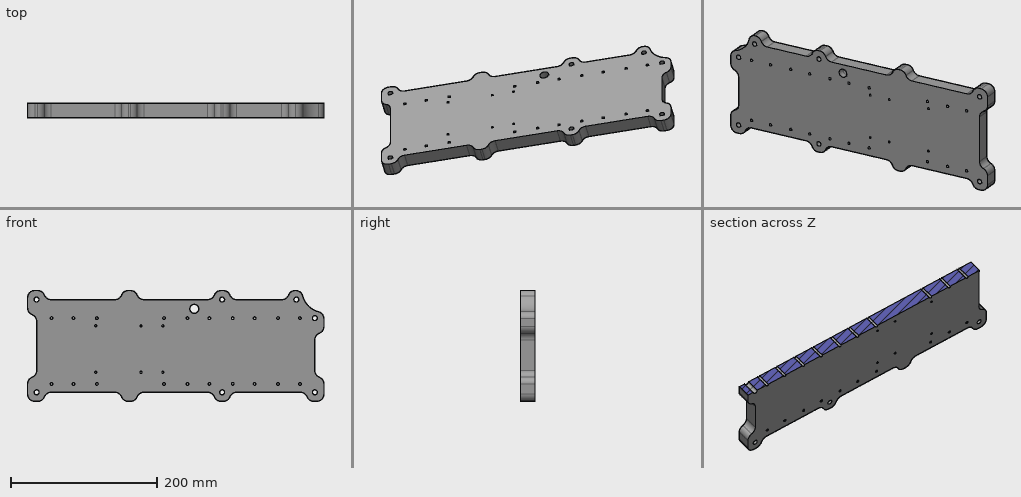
import cadquery as cq
import math

LENGTH = 406.0
HEIGHT = 152.0
THICKNESS = 20.37

GRID = 25.4
GRID_RIGHT = 7.5 * GRID
GRID_TOP = 2.5 * GRID
MIDDLE_LUG_X = (-2.5 * GRID, 2.5 * GRID)
NOTCH_LUG_X = 6.5 * GRID
NOTCH_LUG_Z = 1.5 * GRID

LUG_DEPTH = 12.5
LUG_RADIUS = 10.0
ROOT_RADIUS = 10.0
LUG_ROOT_REACH = 20.0
SIDE_LUG_ROOT_REACH = 30.0

SHOULDER_RISE = LUG_RADIUS + ROOT_RADIUS - LUG_DEPTH
SHOULDER_RUN = math.sqrt((LUG_RADIUS + ROOT_RADIUS) ** 2 - SHOULDER_RISE**2)

LUG_HALF_FLAT = LUG_ROOT_REACH - SHOULDER_RUN
SIDE_HALF_FLAT = SIDE_LUG_ROOT_REACH - SHOULDER_RUN

NOTCH_FLAT = 0.6
NOTCH_RADIUS = 30.0

MOUNT_DIAMETER = 6.5
CABLE_DIAMETER = 12.0
CABLE_X = GRID
CABLE_Z = 2.0 * GRID

MODULE_DIAMETER = 3.33
MODULE_PITCH = 62.0
MODULE_SCREW_SPAN = 30.0
MODULE_COUNT = 6
MODULE_ROW_SPAN = 90.0
MODULE_ROW_CENTER_Z = -7.0
MODULE_SKIPPED_COLUMNS = (3, 4)

INNER_DIAMETER = 2.53
INNER_FIRST_X = -109.6
INNER_SECOND_X = INNER_FIRST_X + MODULE_PITCH
INNER_X = (INNER_FIRST_X, INNER_SECOND_X, INNER_SECOND_X + MODULE_SCREW_SPAN)
INNER_ROW_SPAN = 63.5
INNER_ROW_CENTER_Z = -4.25

RIGHT = LENGTH / 2
TOP = HEIGHT / 2


def point_on(center, radius, direction):
    """Point at a radius from a center, along a direction of any length."""
    size = math.hypot(*direction)
    return (center[0] + radius * direction[0] / size, center[1] + radius * direction[1] / size)


def arc_middle(center, radius, start, end):
    """Middle point of the shorter arc between two points of a circle."""
    toward = (start[0] + end[0] - 2 * center[0], start[1] + end[1] - 2 * center[1])
    return point_on(center, radius, toward)


def shoulder(start, along, inward):
    """Points of the S-curve from a lug flat down to the plate edge: two tangent arcs."""

    def place(distance, depth):
        return (
            start[0] + distance * along[0] + depth * inward[0],
            start[1] + distance * along[1] + depth * inward[1],
        )

    lug_center = place(0, LUG_RADIUS)
    root_center = place(SHOULDER_RUN, LUG_DEPTH - ROOT_RADIUS)
    end = place(SHOULDER_RUN, LUG_DEPTH)
    toward_root = (root_center[0] - lug_center[0], root_center[1] - lug_center[1])
    joint = point_on(lug_center, LUG_RADIUS, toward_root)
    return [
        start,
        arc_middle(lug_center, LUG_RADIUS, start, joint),
        joint,
        arc_middle(root_center, ROOT_RADIUS, joint, end),
        end,
    ]


def corner(x_sign, z_sign):
    """Points of the rounded plate corner, from its vertical side to its horizontal side."""
    center = (x_sign * (RIGHT - LUG_RADIUS), z_sign * (TOP - LUG_RADIUS))
    return [
        (x_sign * RIGHT, center[1]),
        point_on(center, LUG_RADIUS, (x_sign, z_sign)),
        (center[0], z_sign * TOP),
    ]


def edge_shoulder(lug_x, x_sign, z_sign):
    """Shoulder of a lug on the top or bottom edge, on the given side of the lug."""
    start = (lug_x + x_sign * LUG_HALF_FLAT, z_sign * TOP)
    return shoulder(start, (x_sign, 0), (0, -z_sign))


def side_shoulder(lug_z, x_sign, z_sign):
    """Shoulder of a lug on the left or right side, above or below the lug."""
    start = (x_sign * RIGHT, lug_z + z_sign * SIDE_HALF_FLAT)
    return shoulder(start, (0, z_sign), (-x_sign, 0))


def notch():
    """Points of the concave corner between the upper right lugs, symmetric at 45 degrees."""
    shift = NOTCH_FLAT - LUG_HALF_FLAT
    upper = (NOTCH_LUG_X + shift, TOP - LUG_RADIUS)
    lower = (RIGHT - LUG_RADIUS, NOTCH_LUG_Z + shift)
    half_chord = math.dist(upper, lower) / 2
    offset = math.sqrt((LUG_RADIUS + NOTCH_RADIUS) ** 2 - half_chord**2)
    middle = ((upper[0] + lower[0]) / 2, (upper[1] + lower[1]) / 2)
    hollow = point_on(middle, offset, (1, 1))
    upper_start = (upper[0], TOP)
    lower_end = (RIGHT, lower[1])
    upper_joint = point_on(upper, LUG_RADIUS, (hollow[0] - upper[0], hollow[1] - upper[1]))
    lower_joint = point_on(lower, LUG_RADIUS, (hollow[0] - lower[0], hollow[1] - lower[1]))
    return [
        upper_start,
        arc_middle(upper, LUG_RADIUS, upper_start, upper_joint),
        upper_joint,
        arc_middle(hollow, NOTCH_RADIUS, upper_joint, lower_joint),
        lower_joint,
        arc_middle(lower, LUG_RADIUS, lower_joint, lower_end),
        lower_end,
    ]


def outline_curves():
    """Curved stretches of the outline, clockwise from the upper left corner."""
    curves = [corner(-1, 1), edge_shoulder(-GRID_RIGHT, 1, 1)]
    for lug_x in MIDDLE_LUG_X:
        curves.append(edge_shoulder(lug_x, -1, 1)[::-1])
        curves.append(edge_shoulder(lug_x, 1, 1))
    curves.append(edge_shoulder(NOTCH_LUG_X, -1, 1)[::-1])
    curves.append(notch())
    curves.append(side_shoulder(NOTCH_LUG_Z, 1, -1))
    curves.append(side_shoulder(-GRID_TOP, 1, 1)[::-1])
    curves.append(corner(1, -1))
    curves.append(edge_shoulder(GRID_RIGHT, -1, -1))
    for lug_x in reversed(MIDDLE_LUG_X):
        curves.append(edge_shoulder(lug_x, 1, -1)[::-1])
        curves.append(edge_shoulder(lug_x, -1, -1))
    curves.append(edge_shoulder(-GRID_RIGHT, 1, -1)[::-1])
    curves.append(corner(-1, -1)[::-1])
    curves.append(side_shoulder(-GRID_TOP, -1, 1))
    curves.append(side_shoulder(GRID_TOP, -1, -1)[::-1])
    return curves


def make_plate():
    """Plate with lugs, standing upright and centered on its thickness."""
    curves = outline_curves()
    outline = cq.Workplane("XZ").moveTo(*curves[0][0])
    for curve in curves:
        if curve is not curves[0]:
            outline = outline.lineTo(*curve[0])
        for middle, end in zip(curve[1::2], curve[2::2]):
            outline = outline.threePointArc(middle, end)
    return outline.close().extrude(THICKNESS / 2, both=True)


def drill(plate, points, diameter):
    """Through holes along Y at the given (x, z) points."""
    drills = cq.Workplane("XZ").pushPoints(points).circle(diameter / 2).extrude(THICKNESS, both=True)
    return plate.cut(drills)


def mount_points():
    """One bolt hole per lug, except on the two middle lugs left of center."""
    return [
        (-GRID_RIGHT, GRID_TOP),
        (MIDDLE_LUG_X[1], GRID_TOP),
        (NOTCH_LUG_X, GRID_TOP),
        (GRID_RIGHT, NOTCH_LUG_Z),
        (-GRID_RIGHT, -GRID_TOP),
        (MIDDLE_LUG_X[1], -GRID_TOP),
        (GRID_RIGHT, -GRID_TOP),
    ]


def two_rows(columns, center_z, span):
    """Points of two horizontal rows sharing the same columns."""
    return [(x, center_z + side * span / 2) for x in columns for side in (-1, 1)]


def module_columns():
    """X of the module screws; the skipped columns have no screw."""
    columns = []
    for module in range(MODULE_COUNT):
        center_x = (module - (MODULE_COUNT - 1) / 2) * MODULE_PITCH
        columns.append(center_x - MODULE_SCREW_SPAN / 2)
        columns.append(center_x + MODULE_SCREW_SPAN / 2)
    return [x for index, x in enumerate(columns) if index not in MODULE_SKIPPED_COLUMNS]


result = make_plate()
result = drill(result, mount_points(), MOUNT_DIAMETER)
result = drill(result, [(CABLE_X, CABLE_Z)], CABLE_DIAMETER)
result = drill(result, two_rows(module_columns(), MODULE_ROW_CENTER_Z, MODULE_ROW_SPAN), MODULE_DIAMETER)
result = drill(result, two_rows(INNER_X, INNER_ROW_CENTER_Z, INNER_ROW_SPAN), INNER_DIAMETER)